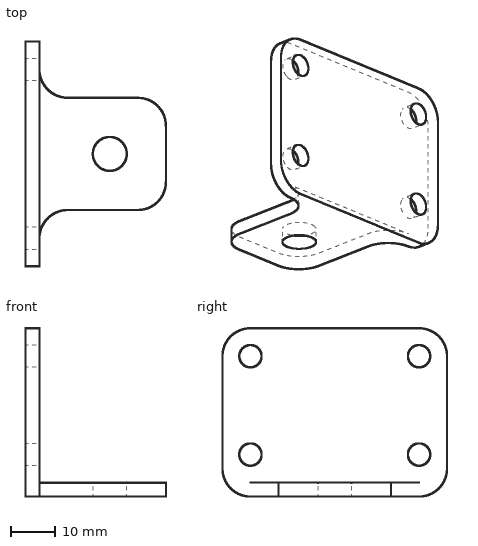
import cadquery as cq

plate_width = 50.8
plate_height = 38.1
bracket_depth = 31.75
thickness = 3.175
corner_radius = 6.35

tab_width = plate_width / 2
tab_hole_diameter = 7.62
tab_hole_x = 19.05

mount_hole_diameter = 5.0
mount_hole_y = plate_width / 2 - corner_radius
upper_hole_z = plate_height - corner_radius
lower_hole_z = 9.525


def make_plate():
    """Upright plate with rounded corners and four mounting holes."""
    hole_centers = [
        (side * mount_hole_y, z)
        for side in (-1, 1)
        for z in (lower_hole_z, upper_hole_z)
    ]
    plate = (
        cq.Workplane("YZ")
        .center(0, plate_height / 2)
        .rect(plate_width, plate_height)
        .extrude(thickness)
        .edges("|X")
        .fillet(corner_radius)
    )
    holes = (
        cq.Workplane("YZ")
        .pushPoints(hole_centers)
        .circle(mount_hole_diameter / 2)
        .extrude(thickness)
    )
    return plate.cut(holes)


def make_tab():
    """Horizontal tab with rounded tip corners, flared root and one hole."""
    half_width = tab_width / 2
    root_half_width = half_width + corner_radius
    flare_end_x = thickness + corner_radius
    tip_arc_x = bracket_depth - corner_radius
    tip_half_width = half_width - corner_radius
    outline = (
        cq.Workplane("XY")
        .moveTo(thickness, -root_half_width)
        .radiusArc((flare_end_x, -half_width), corner_radius)
        .lineTo(tip_arc_x, -half_width)
        .radiusArc((bracket_depth, -tip_half_width), -corner_radius)
        .lineTo(bracket_depth, tip_half_width)
        .radiusArc((tip_arc_x, half_width), -corner_radius)
        .lineTo(flare_end_x, half_width)
        .radiusArc((thickness, root_half_width), corner_radius)
        .close()
    )
    hole = (
        cq.Workplane("XY")
        .center(tab_hole_x, 0)
        .circle(tab_hole_diameter / 2)
        .extrude(thickness)
    )
    return outline.extrude(thickness).cut(hole)


result = make_plate().union(make_tab())